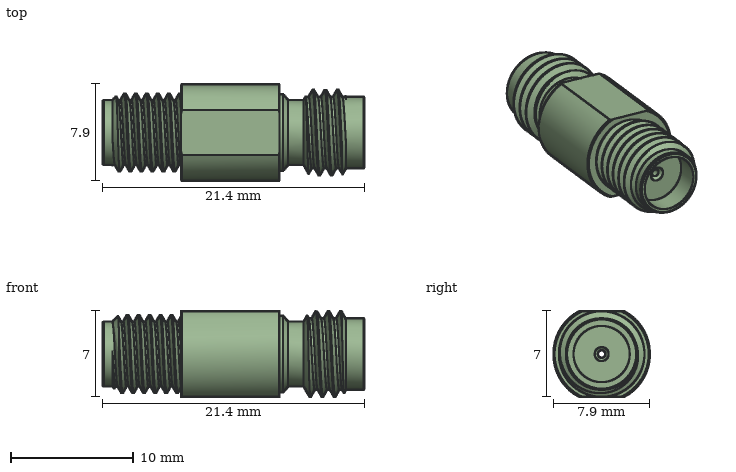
import cadquery as cq
import math


total_length = 21.4
left_thread_start = 0.8
grip_start = 6.41
grip_end = 14.45
collar_length = 0.27
collar_taper_length = 0.44
collar_end = grip_end + collar_length
neck_start = collar_end + collar_taper_length
right_thread_start = 16.42
right_thread_end = 19.88

grip_radius = 3.95
flat_height = 3.5
neck_radius = 2.67
collar_radius = 3.15
left_root_radius = neck_radius
left_crest_radius = 3.2
right_root_radius = 2.93
right_crest_radius = 3.5
socket_radius = 2.3
contact_radius = 0.57
contact_bore_radius = 0.3

grip_chamfer_length = 0.06
grip_chamfer_height = 0.1
end_chamfer = 0.1
socket_depth = 1.96
funnel_depth = contact_radius - contact_bore_radius

insulator_start = socket_depth
insulator_end = total_length - socket_depth

left_pitch = 0.9
left_crest_x = 1.58
right_pitch = 1.0
right_crest_x = 16.95
crest_width = 0.1
flank_angle = 30
ridge_overlap = 0.1
runout_angle_left = 45
runout_angle_right = 60


def revolve_about_x(points):
    """Turn a closed outline of (x, radius) points about the X axis."""
    return cq.Workplane("XY").polyline(points).close().revolve(360, (0, 0, 0), (1, 0, 0))


def cylinder_along_x(radius, start, end):
    return cq.Workplane("YZ").workplane(offset=start).circle(radius).extrude(end - start)


def thread_ridge(root_radius, crest_radius, pitch, crest_x, start, end):
    """Right-hand helical ridge whose turns cover start to end, with a crest at crest_x on -Z."""
    first_crest = crest_x - pitch * math.ceil((crest_x - start) / pitch + 1)
    turns = math.ceil((end - first_crest) / pitch + 1)
    base_radius = root_radius - ridge_overlap
    half_crest = crest_width / 2
    half_base = half_crest + (crest_radius - base_radius) * math.tan(math.radians(flank_angle))
    helix = cq.Wire.makeHelix(pitch, turns * pitch, base_radius)
    ridge = (
        cq.Workplane("XZ")
        .polyline(
            [
                (base_radius, -half_base),
                (crest_radius, -half_crest),
                (crest_radius, half_crest),
                (base_radius, half_base),
            ]
        )
        .close()
        .sweep(cq.Workplane(obj=helix), isFrenet=True)
    )
    return ridge.rotate((0, 0, 0), (0, 1, 0), 90).translate((first_crest, 0, 0))


def left_thread():
    inner_radius = left_root_radius - 2 * ridge_overlap
    outer_radius = left_crest_radius + ridge_overlap
    runout = (outer_radius - left_root_radius) / math.tan(math.radians(runout_angle_left))
    envelope = revolve_about_x(
        [
            (left_thread_start, inner_radius),
            (left_thread_start, left_root_radius),
            (left_thread_start + runout, outer_radius),
            (grip_start, outer_radius),
            (grip_start, inner_radius),
        ]
    )
    ridge = thread_ridge(
        left_root_radius, left_crest_radius, left_pitch, left_crest_x, left_thread_start, grip_start
    )
    return ridge.intersect(envelope)


def right_thread():
    """Threaded stretch with its solid root. Cones end it at the neck and at the plain right end."""
    outer_radius = right_crest_radius + ridge_overlap
    slope = math.tan(math.radians(runout_angle_right))
    envelope = revolve_about_x(
        [
            (right_thread_start, 0),
            (right_thread_start, neck_radius),
            (right_thread_start + (outer_radius - neck_radius) / slope, outer_radius),
            (right_thread_end - (outer_radius - right_root_radius) / slope, outer_radius),
            (right_thread_end, right_root_radius),
            (right_thread_end, 0),
        ]
    )
    ridge = thread_ridge(
        right_root_radius,
        right_crest_radius,
        right_pitch,
        right_crest_x,
        right_thread_start,
        right_thread_end,
    )
    margin = 2 * right_pitch
    root = cylinder_along_x(right_root_radius, right_thread_start - margin, right_thread_end + margin)
    return root.union(ridge).intersect(envelope)


def grip():
    """Round middle with turned end chamfers and two wrench flats facing up and down."""
    length = grip_end - grip_start
    face_radius = grip_radius - grip_chamfer_height
    turned = revolve_about_x(
        [
            (grip_start, 0),
            (grip_start, face_radius),
            (grip_start + grip_chamfer_length, grip_radius),
            (grip_end - grip_chamfer_length, grip_radius),
            (grip_end, face_radius),
            (grip_end, 0),
        ]
    )
    flats = cq.Workplane("XY").box(length, 2 * grip_radius, 2 * flat_height)
    return turned.intersect(flats.translate((grip_start + length / 2, 0, 0)))


def make_housing():
    """Outer shell: grip, both threads, collar and neck, with one bore right through."""
    core = revolve_about_x(
        [
            (0, 0),
            (0, left_root_radius - end_chamfer),
            (end_chamfer, left_root_radius),
            (grip_start, left_root_radius),
            (grip_start, collar_radius),
            (collar_end, collar_radius),
            (neck_start, neck_radius),
            (right_thread_end, neck_radius),
            (right_thread_end, right_root_radius),
            (total_length - end_chamfer, right_root_radius),
            (total_length, right_root_radius - end_chamfer),
            (total_length, 0),
        ]
    )
    bore = cylinder_along_x(socket_radius, 0, total_length)
    return core.union(grip()).union(left_thread()).union(right_thread()).cut(bore)


def make_insulator():
    """Sleeve that fills the bore between the two sockets and holds the contact."""
    sleeve = cylinder_along_x(socket_radius, insulator_start, insulator_end)
    return sleeve.cut(cylinder_along_x(contact_radius, insulator_start, insulator_end))


def make_contact():
    """Tube flush with the insulator, its bore opening as a funnel at each end."""
    return revolve_about_x(
        [
            (insulator_start, contact_radius),
            (insulator_end, contact_radius),
            (insulator_end - funnel_depth, contact_bore_radius),
            (insulator_start + funnel_depth, contact_bore_radius),
        ]
    )


housing = make_housing()
insulator = make_insulator()
contact = make_contact()

result = cq.Compound.makeCompound([housing.solids().val(), insulator.val(), contact.val()])